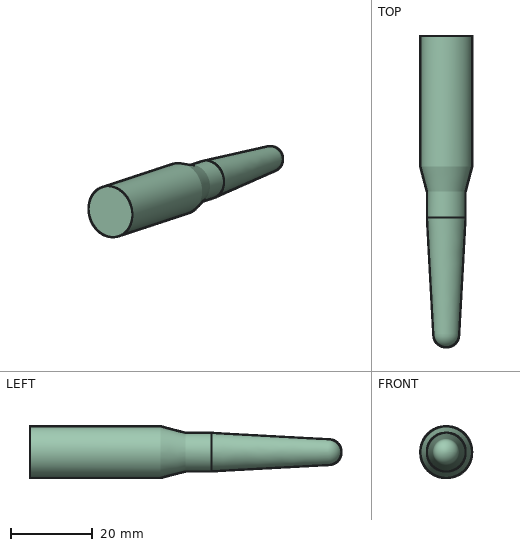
import cadquery as cq

total_length = 76.2
handle_diameter = 12.7
collar_diameter = 9.5
tip_diameter = 6.4

grip_length = 32.0
shoulder_length = 6.1
collar_length = 6.3

handle_radius = handle_diameter / 2
collar_radius = collar_diameter / 2
tip_radius = tip_diameter / 2

back_y = total_length / 2
grip_end_y = back_y - grip_length
shoulder_end_y = grip_end_y - shoulder_length
joint_y = shoulder_end_y - collar_length
dome_end_y = back_y - total_length
dome_base_y = dome_end_y + tip_radius


def revolve_about_y(profile):
    """Turn a closed half profile in the XY plane a full turn about the Y axis."""
    return profile.revolve(360, (0, 0, 0), (0, 1, 0))


def make_handle():
    """Cylindrical grip, conical shoulder and cylindrical collar."""
    profile = (
        cq.Workplane("XY")
        .moveTo(0, back_y)
        .lineTo(handle_radius, back_y)
        .lineTo(handle_radius, grip_end_y)
        .lineTo(collar_radius, shoulder_end_y)
        .lineTo(collar_radius, joint_y)
        .lineTo(0, joint_y)
        .close()
    )
    return revolve_about_y(profile)


def make_probe():
    """Slender cone that starts flush with the collar and ends in a hemisphere."""
    half_chord = tip_radius / 2 ** 0.5
    profile = (
        cq.Workplane("XY")
        .moveTo(0, joint_y)
        .lineTo(collar_radius, joint_y)
        .lineTo(tip_radius, dome_base_y)
        .threePointArc((half_chord, dome_base_y - half_chord), (0, dome_end_y))
        .close()
    )
    return revolve_about_y(profile)


handle = make_handle()
probe = make_probe()

result = cq.Compound.makeCompound([handle.val(), probe.val()])